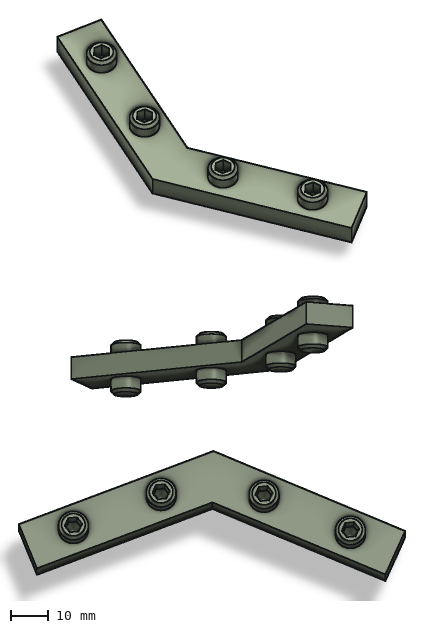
import cadquery as cq
import math

overall_length = 94.7
arm_width = 13.2
plate_thickness = 6.0
bend_angle = 45.0
bend_cos = math.cos(math.radians(bend_angle))
bend_sin = math.sin(math.radians(bend_angle))
arm_length = (overall_length - arm_width * bend_sin) / (1 + bend_cos)
outer_corner_x = arm_length + arm_width * math.tan(math.radians(bend_angle / 2))

screw_diameter = 8.0
screw_length = 14.0
screw_chamfer = 0.85
screw_end_distance = 13.0
screw_spacing = 25.0
screw_bottom_z = (plate_thickness - screw_length) / 2

socket_flats = 4.0
socket_depth = 4.0
socket_tip_angle = 120.0
socket_corners = socket_flats / math.cos(math.radians(30))


def along_angled_arm(distance, offset):
    """Point at a distance from the inner bend along the angled arm, offset to its outer side."""
    return (
        arm_length + distance * bend_cos + offset * bend_sin,
        arm_width + distance * bend_sin - offset * bend_cos,
    )


def screw_positions():
    """Two screws on each arm, measured back from the arm's free end."""
    positions = []
    for end_distance in (screw_end_distance, screw_end_distance + screw_spacing):
        positions.append((end_distance, arm_width / 2))
        positions.append(along_angled_arm(arm_length - end_distance, arm_width / 2))
    return positions


def make_plate():
    """Bent flat plate with a through hole for every screw."""
    outline = [
        (0, 0),
        (outer_corner_x, 0),
        along_angled_arm(arm_length, arm_width),
        along_angled_arm(arm_length, 0),
        (arm_length, arm_width),
        (0, arm_width),
    ]
    blank = cq.Workplane("XY").polyline(outline).close().extrude(plate_thickness)
    holes = (
        cq.Workplane("XY")
        .pushPoints(screw_positions())
        .circle(screw_diameter / 2)
        .extrude(plate_thickness)
    )
    return blank.cut(holes)


def make_socket():
    """Hexagonal recess with a conical floor, its mouth at z = 0 and two corners along Y."""
    corner_radius = socket_corners / 2
    tip_depth = corner_radius / math.tan(math.radians(socket_tip_angle / 2))
    hexagon = (
        cq.Workplane("XY")
        .polygon(6, socket_corners)
        .extrude(-(socket_depth + tip_depth))
        .rotate((0, 0, 0), (0, 0, 1), 90)
    )
    drilled_hole = (
        cq.Workplane("XZ")
        .polyline([(0, 0), (corner_radius, 0), (corner_radius, -socket_depth), (0, -socket_depth - tip_depth)])
        .close()
        .revolve(360, (0, 0, 0), (0, 1, 0))
    )
    return hexagon.intersect(drilled_hole)


def make_screw(x, y):
    """Headless screw, chamfered at both ends, with a socket in its top."""
    screw = (
        cq.Workplane("XY")
        .circle(screw_diameter / 2)
        .extrude(screw_length)
        .faces("<Z or >Z")
        .edges()
        .chamfer(screw_chamfer)
        .cut(make_socket().translate((0, 0, screw_length)))
    )
    return screw.translate((x, y, screw_bottom_z))


plate = make_plate()
screws = [make_screw(x, y) for x, y in screw_positions()]

result = cq.Compound.makeCompound([plate.val(), *[screw.val() for screw in screws]])